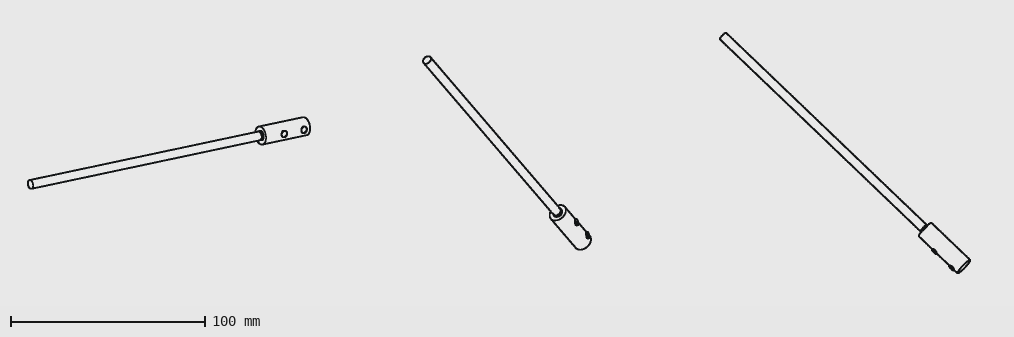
import cadquery as cq

overall_length = 174.0
body_diameter = 9.5
body_length = 28.0
rod_diameter = 4.7

taper_length = 0.5
neck_diameter = 4.2
neck_length = 0.5
recess_diameter = 5.0
recess_depth = 0.2

screw_diameter = 3.5
screw_protrusion = 0.3
first_screw_inset = 4.0
screw_spacing = 12.5

body_start = overall_length - body_length
neck_start = body_start - neck_length
taper_start = neck_start - taper_length
recess_floor = body_start + recess_depth


def turned_shaft():
    """Rod, taper, neck, recess and body as one profile revolved about Y."""
    rod_radius = rod_diameter / 2
    neck_radius = neck_diameter / 2
    recess_radius = recess_diameter / 2
    body_radius = body_diameter / 2
    profile = [
        (0, 0),
        (rod_radius, 0),
        (rod_radius, taper_start),
        (neck_radius, neck_start),
        (neck_radius, recess_floor),
        (recess_radius, recess_floor),
        (recess_radius, body_start),
        (body_radius, body_start),
        (body_radius, overall_length),
        (0, overall_length),
    ]
    return cq.Workplane("XY").polyline(profile).close().revolve(360, (0, 0, 0), (0, 1, 0))


def set_screw(y):
    """Screw running from the body axis out past the +X side."""
    screw_reach = body_diameter / 2 + screw_protrusion
    plane = cq.Plane(origin=(0, y, 0), xDir=(0, 1, 0), normal=(1, 0, 0))
    return cq.Workplane(plane).circle(screw_diameter / 2).extrude(screw_reach)


result = turned_shaft()

first_screw_y = overall_length - first_screw_inset
for screw_y in (first_screw_y, first_screw_y - screw_spacing):
    result = result.union(set_screw(screw_y))